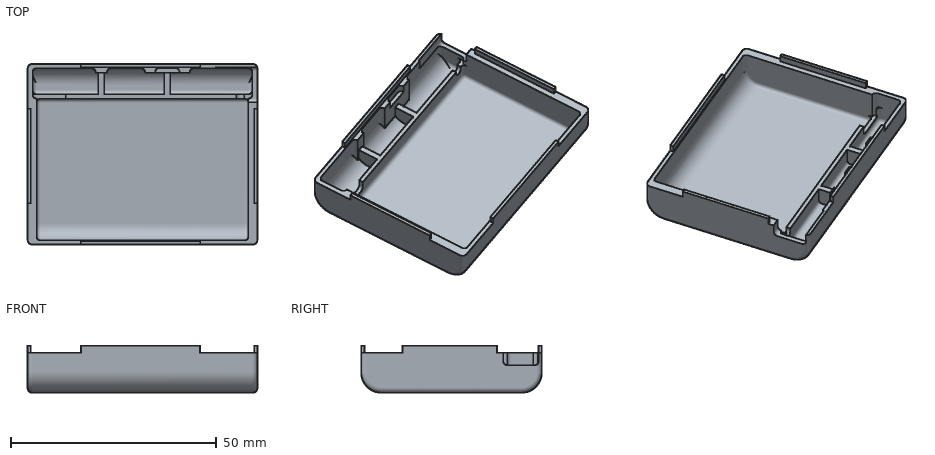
import cadquery as cq
import math

length = 56.0
width = 44.0
rim_z = 9.8
belly_radius = 5.0
end_radius = 1.25

tongue_height = 1.7
tongue_thickness = 0.85
long_tongue_length = 29.0
long_tongue_x = -0.5
short_tongue_length = 23.1
short_tongue_y = -0.45

wall = 1.05
floor = 1.0
pocket_belly_radius = belly_radius - floor
main_side_wall = 2.25
main_corner_radius = 0.9
divider_foot_radius = 1.0
rear_side_wall = 1.25
rear_corner_radius = 1.0

back_y = width / 2
divider_thickness = 1.05
channel_reach = 7.4
divider_rear_y = back_y - channel_reach
divider_front_y = divider_rear_y - divider_thickness
divider_top_z = 5.45

right_notch_depth = 1.7
left_notch_depth = 2.8
notch_radius = 1.0
left_notch_end_x = -18.7
right_notch_x = 23.8

block_depth = 1.05
block_face_y = back_y - wall - block_depth
small_block_x = -10.0
small_block_width = 2.75
large_block_x = 6.05
large_block_width = 10.8
rib_thickness = 1.45

window_width = 5.95
opening_floor_z = 6.7
window_corner_radius = 0.95
window_floor_z = 7.6
opening_length = 10.2
opening_rear_wall = 0.8
opening_reach = 9.4
opening_front_y = back_y - opening_reach
opening_radius = 1.0


def box(x0, x1, y0, y1, z0, z1):
    """Axis-aligned block between two opposite corners."""
    return cq.Workplane("XY").box(x1 - x0, y1 - y0, z1 - z0, centered=False).translate((x0, y0, z0))


rim_margin = 0.05
below_rim = cq.selectors.BoxSelector((-length, -width, -rim_z), (length, width, rim_z - rim_margin))


def outer_shell():
    """Solid tray with big rounded lower edges along X and softened ends."""
    blank = box(-length / 2, length / 2, -back_y, back_y, 0, rim_z)
    blank = blank.edges("|X and <Z").fillet(belly_radius)
    return blank.faces("<X or >X").edges(below_rim).fillet(end_radius)


def belly_bar(half_length):
    """Bar along X, concentric with the rounded lower edges of the tray, that bounds both cavities."""
    half_width = back_y - floor
    bar = box(-half_length, half_length, -half_width, half_width, floor, rim_z)
    return bar.edges("|X and <Z").fillet(pocket_belly_radius)


def main_pocket():
    """Large pocket; its end rounding runs down the corners, along the belly and across the floor."""
    half_length = length / 2 - main_side_wall
    pocket = box(-half_length, half_length, -back_y + wall, divider_front_y, floor, rim_z)
    pocket = pocket.edges("|X and >Y and <Z").fillet(divider_foot_radius)
    pocket = pocket.intersect(belly_bar(half_length))
    return pocket.faces("<X or >X").edges(below_rim).fillet(main_corner_radius)


def rear_channel():
    """Rear cavity, widened over the top of the divider."""
    half_length = length / 2 - rear_side_wall
    channel = box(-half_length, half_length, divider_rear_y, back_y - wall, floor, rim_z)
    channel = channel.edges("|Z or <Z").fillet(rear_corner_radius)
    channel = channel.intersect(belly_bar(half_length))
    above_divider = box(-half_length, half_length, divider_front_y, back_y - wall, divider_top_z, rim_z)
    return channel.union(above_divider.edges("|Z").fillet(rear_corner_radius))


def wall_block(center_x, face_width):
    """Block on the rear wall whose flanks flare into the wall with concave arcs."""
    half_face = face_width / 2
    half_root = half_face + block_depth
    root_y = back_y - wall
    arc_middle = block_depth * (1 - math.sqrt(0.5))
    belly_offset = belly_radius - wall - block_depth
    base_z = floor + pocket_belly_radius - math.sqrt(pocket_belly_radius**2 - belly_offset**2)
    return (
        cq.Workplane("XY", origin=(center_x, 0, base_z))
        .moveTo(-half_root, root_y)
        .threePointArc((-half_face - arc_middle, root_y - arc_middle), (-half_face, block_face_y))
        .lineTo(half_face, block_face_y)
        .threePointArc((half_face + arc_middle, root_y - arc_middle), (half_root, root_y))
        .close()
        .extrude(rim_z - base_z)
    )


def rib(center_x):
    """Low wall joining the divider to a rear block."""
    half = rib_thickness / 2
    return box(center_x - half, center_x + half, divider_rear_y, block_face_y, floor, divider_top_z)


def block_window():
    """Recess in the top of the large block, open towards the divider."""
    half = window_width / 2
    recess = box(
        large_block_x - half, large_block_x + half,
        block_face_y, back_y - wall,
        window_floor_z, rim_z,
    )
    return recess.edges("|Z and >Y").fillet(window_corner_radius)


def corner_opening():
    """Round-bottomed cut through the right wall, thinning the rear wall beside it."""
    x0 = length / 2 - opening_length
    cut = box(x0, length / 2, opening_front_y, back_y - opening_rear_wall, opening_floor_z, rim_z)
    return cut.edges("|X and <Z").fillet(opening_radius)


def divider_notches():
    """Deep notch at the left end of the divider and a round-bottomed one near the right end."""
    y0, y1 = divider_front_y, divider_rear_y
    left_bottom_z = divider_top_z - left_notch_depth
    left = box(-length / 2 + rear_side_wall, left_notch_end_x, y0, y1, left_bottom_z, divider_top_z)
    left = left.edges("|Y and <Z and >X").fillet(notch_radius)
    left = left.edges("|Z and <X and <Y").fillet(rear_corner_radius)
    right_x0 = right_notch_x - notch_radius
    right_x1 = right_notch_x + notch_radius
    axis_z = divider_top_z - right_notch_depth + notch_radius
    right = box(right_x0, right_x1, y0, y1, axis_z, divider_top_z)
    round_bottom = cq.Workplane("XZ", origin=(right_notch_x, y1, axis_z)).circle(notch_radius).extrude(y1 - y0)
    return left.union(right).union(round_bottom)


def corner_relief(side, bottom_z):
    """Squares off a rounded main pocket corner beside the divider, above the given height."""
    wall_x = side * (length / 2 - main_side_wall)
    x0, x1 = sorted((wall_x, wall_x - side * main_corner_radius))
    return box(x0, x1, divider_front_y - main_corner_radius, divider_front_y, bottom_z, rim_z)


def tongues():
    """Strips standing on the rim, one along each outer face."""
    top_z = rim_z + tongue_height
    x0 = long_tongue_x - long_tongue_length / 2
    y0 = short_tongue_y - short_tongue_length / 2
    strips = []
    for start in (-back_y, back_y - tongue_thickness):
        strips.append(box(x0, x0 + long_tongue_length, start, start + tongue_thickness, rim_z, top_z))
    for start in (-length / 2, length / 2 - tongue_thickness):
        strips.append(box(start, start + tongue_thickness, y0, y0 + short_tongue_length, rim_z, top_z))
    return strips


result = outer_shell().cut(main_pocket()).cut(rear_channel())
for block_x, block_width in ((small_block_x, small_block_width), (large_block_x, large_block_width)):
    result = result.union(wall_block(block_x, block_width)).union(rib(block_x))
result = result.cut(block_window()).cut(corner_opening()).cut(divider_notches())
result = result.cut(corner_relief(-1, divider_top_z - left_notch_depth)).cut(corner_relief(1, divider_top_z))
for tongue in tongues():
    result = result.union(tongue)